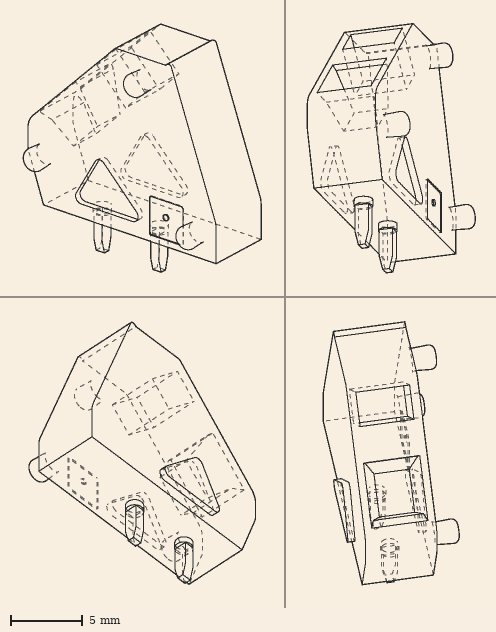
import cadquery as cq
import math

housing_length = 16.85
housing_thickness = 5.08
mid_y = housing_thickness / 2
top_z = 14.05
foot_x = 1.39
undercut_z = 4.0
ramp_start_z = 6.22
ramp_end_x = top_z - ramp_start_z
rear_angle = 20
rear_corner_z = 3.03
undercut_radius = 1.4
ramp_start_radius = 1.5
ramp_end_radius = 0.25
rear_corner_radius = 2.0

ridge_x = 12.33
ridge_crest_x = 12.6
ridge_top_z = 14.2
ridge_front_radius = 0.3
ridge_rear_radius = 0.2

socket_start_x = 0.594
socket_length = 4.585
socket_width = 4.0
socket_depth = 3.36
socket_floor_u = (0.45, 3.5)
socket_lead_in_depth = 1.0
socket_upper_lip_depth = 0.45
socket_front_inset = 0.46
socket_back_inset = 1.03
window_start_x = 5.67
window_length = 2.43
window_width = 3.83
window_depth = 3.64

triangle_left_x = 3.904
triangle_base = 6.663
triangle_base_z = 1.07
triangle_left_angle = 60
triangle_right_angle = 45
triangle_radius = 0.5
triangle_depth = 0.5

field_size = 3.0
field_center = (12.37, 2.0)
field_radius = 0.15
field_depth = 0.1
dot_center = (12.31, 2.22)
dot_diameter = 0.46

peg_centers = [(1.66, 4.1), (10.64, 12.5), (15.33, 2.08)]
peg_height = 1.8
peg_neck_radius = 0.8
peg_head_radius = 0.87
peg_tip_radius = 0.48
peg_root_fillet = 0.17
peg_shoulder_height = 1.34

pin_pitch = 5.08
first_pin_x = 4.65
pin_xs = [first_pin_x, first_pin_x + pin_pitch]
standoff_diameter = 1.3
standoff_height = 0.5
pin_length = 3.0
pin_size_x = 0.75
pin_size_y = 1.0
pin_tip_y = 0.5
pin_taper_length = 1.0


def near(x, z):
    """Selector for the edge through the housing thickness closest to (x, z)."""
    return cq.selectors.NearestToPointSelector((x, mid_y, z))


def make_block():
    """Plain housing body with rounded outline corners and the top ridge."""
    lean = math.tan(math.radians(rear_angle))
    ridge_rear_x = housing_length - (ridge_top_z - rear_corner_z) * lean
    block = (
        cq.Workplane("XZ")
        .moveTo(foot_x, 0)
        .lineTo(0, undercut_z)
        .lineTo(0, ramp_start_z)
        .lineTo(ramp_end_x, top_z)
        .lineTo(ridge_x, top_z)
        .radiusArc((ridge_crest_x, ridge_top_z), ridge_front_radius)
        .lineTo(ridge_rear_x, ridge_top_z)
        .lineTo(housing_length, rear_corner_z)
        .lineTo(housing_length, 0)
        .close()
        .extrude(-housing_thickness)
    )
    rounded_corners = [
        (0, undercut_z, undercut_radius),
        (0, ramp_start_z, ramp_start_radius),
        (ramp_end_x, top_z, ramp_end_radius),
        (ridge_rear_x, ridge_top_z, ridge_rear_radius),
        (housing_length, rear_corner_z, rear_corner_radius),
    ]
    for x, z, radius in rounded_corners:
        block = block.edges("|Y").edges(near(x, z)).fillet(radius)
    return block


def ramp_point(x):
    """Point on the ramp surface at mid thickness."""
    return (x, mid_y, x + ramp_start_z)


def make_socket():
    """Wire entry funnel: a side profile trimmed by tapered side walls."""
    origin = ramp_point(socket_start_x)
    half_width = socket_width / 2
    floor_low, floor_high = socket_floor_u
    side_plane = cq.Plane(origin=origin, xDir=(1, 0, 1), normal=(0, 1, 0))
    profile = (
        cq.Workplane(side_plane)
        .polyline([
            (0, 0),
            (floor_low, socket_lead_in_depth),
            (floor_low, socket_depth),
            (floor_high, socket_depth),
            (socket_length, socket_upper_lip_depth),
            (socket_length, 0),
        ])
        .close()
        .extrude(half_width, both=True)
    )
    cross_plane = cq.Plane(origin=origin, xDir=(0, 1, 0), normal=(-1, 0, -1))
    taper = (
        cq.Workplane(cross_plane)
        .polyline([
            (-half_width, 0),
            (half_width, 0),
            (half_width - socket_back_inset, socket_depth),
            (-half_width + socket_front_inset, socket_depth),
        ])
        .close()
        .extrude(-socket_length)
    )
    return profile.intersect(taper)


def make_window():
    """Rectangular pocket square to the ramp."""
    plane = cq.Plane(origin=ramp_point(window_start_x), xDir=(1, 0, 1), normal=(-1, 0, 1))
    return (
        cq.Workplane(plane)
        .center(window_length / 2, 0)
        .rect(window_length, window_width)
        .extrude(-window_depth)
    )


def make_triangle(start_y):
    """Rounded triangular prism starting at start_y and running toward +Y."""
    left_run = 1 / math.tan(math.radians(triangle_left_angle))
    right_run = 1 / math.tan(math.radians(triangle_right_angle))
    height = triangle_base / (left_run + right_run)
    return (
        cq.Workplane("XZ", origin=(triangle_left_x, start_y, triangle_base_z))
        .polyline([(0, 0), (height * left_run, height), (triangle_base, 0)])
        .close()
        .extrude(-triangle_depth)
        .edges("|Y")
        .fillet(triangle_radius)
    )


def make_label_field():
    """Shallow square recess that leaves a round dot standing."""
    field = (
        cq.Workplane("XZ")
        .center(*field_center)
        .rect(field_size, field_size)
        .extrude(-field_depth)
        .edges("|Y")
        .fillet(field_radius)
    )
    dot = cq.Workplane("XZ").center(*dot_center).circle(dot_diameter / 2).extrude(-field_depth)
    return field.cut(dot)


def make_peg(x, z):
    """Peg with a filleted root, a slightly flared shank and a rounded head."""
    diagonal = math.sqrt(0.5)
    root_mid = (
        peg_neck_radius + peg_root_fillet * (1 - diagonal),
        -peg_root_fillet * (1 - diagonal),
    )
    head_round_width = peg_head_radius - peg_tip_radius
    head_round_height = peg_height - peg_shoulder_height
    head_mid = (
        peg_tip_radius + head_round_width * diagonal,
        -peg_shoulder_height - head_round_height * diagonal,
    )
    return (
        cq.Workplane("XY")
        .moveTo(0, 0)
        .lineTo(peg_neck_radius + peg_root_fillet, 0)
        .threePointArc(root_mid, (peg_neck_radius, -peg_root_fillet))
        .lineTo(peg_head_radius, -peg_shoulder_height)
        .threePointArc(head_mid, (peg_tip_radius, -peg_height))
        .lineTo(0, -peg_height)
        .close()
        .revolve(360, (0, 0, 0), (0, 1, 0))
        .translate((x, 0, z))
    )


def make_pin(x):
    """Flat solder pin, seated on the end of its standoff and tapering to the tip."""
    half_y = pin_size_y / 2
    half_tip = pin_tip_y / 2
    taper_z = -pin_length + pin_taper_length
    return (
        cq.Workplane("YZ", origin=(x, mid_y, -standoff_height))
        .polyline([
            (-half_y, 0),
            (half_y, 0),
            (half_y, taper_z),
            (half_tip, -pin_length),
            (-half_tip, -pin_length),
            (-half_y, taper_z),
        ])
        .close()
        .extrude(pin_size_x / 2, both=True)
    )


def make_housing():
    """Housing with its openings, triangle, label field, pegs and standoffs."""
    body = make_block()
    body = body.cut(make_socket()).cut(make_window())
    body = body.cut(make_triangle(0)).union(make_triangle(housing_thickness))
    body = body.cut(make_label_field())
    for x, z in peg_centers:
        body = body.union(make_peg(x, z))
    for x in pin_xs:
        standoff = (
            cq.Workplane("XY", origin=(x, mid_y, 0))
            .circle(standoff_diameter / 2)
            .extrude(-standoff_height)
        )
        body = body.union(standoff)
    return body


housing = make_housing()
pins = [make_pin(x) for x in pin_xs]

result = cq.Compound.makeCompound([housing.val(), *[pin.val() for pin in pins]])